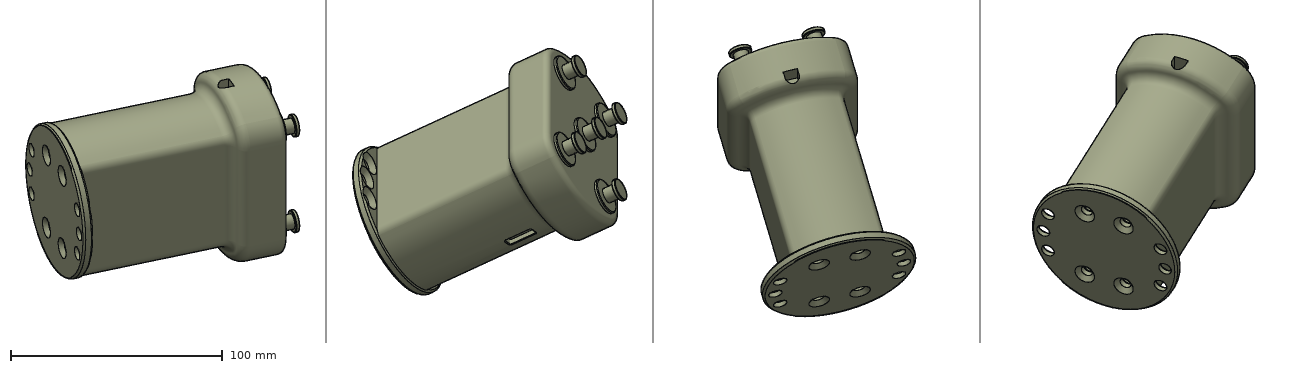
import cadquery as cq
import math

TOTAL_LENGTH = 115.5
FACE_Y = 106.0

FLANGE_DIAMETER = 75.0
FLANGE_THICKNESS = 5.0
FLANGE_CHAMFER = 1.0

HEAD_HEIGHT = 91.6
HEAD_GROWTH = 9.0
HEAD_SHOULDER_Y = 87.0
HEAD_FACE_FILLET = 3.0

BODY_RADIUS = HEAD_HEIGHT / 2 - HEAD_GROWTH
BODY_HALF_WIDTH = 22.9
ROUNDING = 5.0

COUNTERSINK_ANGLE = 90

SCREW_SPACING_X = 20.0
SCREW_SPACING_Z = 40.0
SCREW_HOLE = 5.5
SCREW_HEAD = 10.0
TAPPED_HOLE = 4.5
TAPPED_DEPTH = 11.5

RIM_HOLE = 6.5
RIM_HOLE_HEAD = 11.7
RIM_HOLE_RADIUS = 31.4
RIM_HOLE_ANGLE = 22.5

NOTCH_RADIUS = 3.5
NOTCH_STRAIGHT = 3.0
NOTCH_DEPTH = 10.0

POCKET_X = -12.5
POCKET_Y = 62.8
POCKET_WIDTH = 5.0
POCKET_LENGTH = 14.3
POCKET_CORNER = 0.7
POCKET_CHAMFER = 0.5
POCKET_FLOOR_Z = -30.0

KNOB_SPACING_X = 35.8
KNOB_SPACING_Z = 52.9
WASHER_DIAMETER = 17.3
WASHER_THICKNESS = 1.5
WASHER_CHAMFER = 0.5
STEM_DIAMETER = 7.5
CAP_DIAMETER = 11.0
CAP_THICKNESS = 2.0
CAP_CHAMFER = 0.3


def plane_at(y):
    """Plane across the part axis at height y, with local axes X and Z and its normal along -Y."""
    return cq.Workplane(cq.Plane(origin=(0, y, 0), xDir=(1, 0, 0), normal=(0, -1, 0)))


def outline(plane, growth):
    """Body outline grown outward, starting in the middle of the +X flat."""
    radius = BODY_RADIUS + growth
    half_width = BODY_HALF_WIDTH + growth
    corner = ROUNDING + growth
    corner_x = half_width - corner
    corner_z = math.sqrt((radius - corner) ** 2 - corner_x**2)
    corner_angle = math.atan2(corner_z, corner_x)
    tangent_x = radius * math.cos(corner_angle)
    tangent_z = radius * math.sin(corner_angle)
    middle_x = corner_x + corner * math.cos(corner_angle / 2)
    middle_z = corner_z + corner * math.sin(corner_angle / 2)
    return (
        plane.moveTo(half_width, 0)
        .lineTo(half_width, corner_z)
        .threePointArc((middle_x, middle_z), (tangent_x, tangent_z))
        .threePointArc((0, radius), (-tangent_x, tangent_z))
        .threePointArc((-middle_x, middle_z), (-half_width, corner_z))
        .lineTo(-half_width, -corner_z)
        .threePointArc((-middle_x, -middle_z), (-tangent_x, -tangent_z))
        .threePointArc((0, -radius), (tangent_x, -tangent_z))
        .threePointArc((middle_x, -middle_z), (half_width, -corner_z))
        .close()
    )


def make_flange():
    disc = plane_at(0).circle(FLANGE_DIAMETER / 2).extrude(-FLANGE_THICKNESS)
    return disc.edges().chamfer(FLANGE_CHAMFER)


def make_head_rim():
    """Ring around the body that holds the curved shoulder, the head wall and the face fillet."""
    wall_x = BODY_HALF_WIDTH + HEAD_GROWTH
    inner_x = BODY_HALF_WIDTH - ROUNDING / 2
    convex_x = wall_x - ROUNDING
    concave_x = BODY_HALF_WIDTH + ROUNDING

    centre_distance = 2 * ROUNDING
    shoulder_length = math.sqrt(centre_distance**2 - (concave_x - convex_x) ** 2)
    concave_y = HEAD_SHOULDER_Y - shoulder_length
    join = ((convex_x + concave_x) / 2, (HEAD_SHOULDER_Y + concave_y) / 2)
    join_angle = math.atan2(shoulder_length, concave_x - convex_x)
    bisector = join_angle / 2
    concave_middle = (
        concave_x - ROUNDING * math.cos(bisector),
        concave_y + ROUNDING * math.sin(bisector),
    )
    convex_middle = (
        convex_x + ROUNDING * math.cos(bisector),
        HEAD_SHOULDER_Y - ROUNDING * math.sin(bisector),
    )
    fillet_start = FACE_Y - HEAD_FACE_FILLET
    fillet_reach = HEAD_FACE_FILLET * math.sqrt(0.5)
    fillet_middle = (wall_x - HEAD_FACE_FILLET + fillet_reach, fillet_start + fillet_reach)
    section = (
        cq.Workplane("XY")
        .moveTo(inner_x, concave_y)
        .lineTo(BODY_HALF_WIDTH, concave_y)
        .threePointArc(concave_middle, join)
        .threePointArc(convex_middle, (wall_x, HEAD_SHOULDER_Y))
        .lineTo(wall_x, fillet_start)
        .threePointArc(fillet_middle, (wall_x - HEAD_FACE_FILLET, FACE_Y))
        .lineTo(inner_x, FACE_Y)
        .close()
    )
    return section.sweep(outline(plane_at(concave_y), 0))


def make_knob(x, z):
    washer = plane_at(FACE_Y).center(x, z).circle(WASHER_DIAMETER / 2).extrude(-WASHER_THICKNESS)
    washer = washer.faces(">Y").edges().chamfer(WASHER_CHAMFER)
    stem = plane_at(FACE_Y).center(x, z).circle(STEM_DIAMETER / 2).extrude(FACE_Y - TOTAL_LENGTH)
    cap = plane_at(TOTAL_LENGTH).center(x, z).circle(CAP_DIAMETER / 2).extrude(CAP_THICKNESS)
    cap = cap.edges().chamfer(CAP_CHAMFER)
    return washer.union(stem).union(cap)


def cut_screw_holes(part):
    tapped = plane_at(0).rect(SCREW_SPACING_X, SCREW_SPACING_Z, forConstruction=True).vertices()
    part = part.cut(tapped.circle(TAPPED_HOLE / 2).extrude(-FLANGE_THICKNESS - TAPPED_DEPTH))
    return (
        part.copyWorkplane(plane_at(0))
        .rect(SCREW_SPACING_X, SCREW_SPACING_Z, forConstruction=True)
        .vertices()
        .cskHole(SCREW_HOLE, SCREW_HEAD, COUNTERSINK_ANGLE, FLANGE_THICKNESS)
    )


def cut_rim_holes(part):
    sink_slope = math.tan(math.radians(COUNTERSINK_ANGLE / 2))
    sink_depth = (RIM_HOLE_HEAD - RIM_HOLE) / 2 / sink_slope
    for side in (0, 180):
        for step in (-1, 0, 1):
            angle = math.radians(side + step * RIM_HOLE_ANGLE)
            x = RIM_HOLE_RADIUS * math.cos(angle)
            z = RIM_HOLE_RADIUS * math.sin(angle)
            hole = plane_at(0).center(x, z).circle(RIM_HOLE / 2).extrude(-FLANGE_THICKNESS)
            sink = (
                plane_at(FLANGE_THICKNESS)
                .center(x, z)
                .circle(RIM_HOLE_HEAD / 2)
                .workplane(offset=sink_depth)
                .circle(RIM_HOLE / 2)
                .loft()
            )
            part = part.cut(hole).cut(sink)
    return part


def cut_notch(part):
    notch = (
        cq.Workplane("XY", origin=(0, HEAD_SHOULDER_Y, HEAD_HEIGHT / 2))
        .moveTo(NOTCH_RADIUS, NOTCH_STRAIGHT)
        .lineTo(-NOTCH_RADIUS, NOTCH_STRAIGHT)
        .lineTo(-NOTCH_RADIUS, 0)
        .threePointArc((0, -NOTCH_RADIUS), (NOTCH_RADIUS, 0))
        .close()
        .extrude(-NOTCH_DEPTH)
    )
    return part.cut(notch)


def cut_pocket(body):
    pocket = (
        cq.Workplane("XY", origin=(POCKET_X, POCKET_Y, POCKET_FLOOR_Z))
        .rect(POCKET_WIDTH, POCKET_LENGTH)
        .extrude(-BODY_RADIUS - POCKET_FLOOR_Z)
        .edges("|Z")
        .fillet(POCKET_CORNER)
    )
    mouth = cq.selectors.BoxSelector(
        (POCKET_X - POCKET_WIDTH, POCKET_Y - POCKET_LENGTH, -BODY_RADIUS),
        (POCKET_X + POCKET_WIDTH, POCKET_Y + POCKET_LENGTH, POCKET_FLOOR_Z - POCKET_CORNER),
    )
    upright = cq.selectors.ParallelDirSelector(cq.Vector(0, 0, 1))
    return body.cut(pocket).edges(mouth - upright).chamfer(POCKET_CHAMFER)


body = cut_pocket(outline(plane_at(0), 0).extrude(-FACE_Y))
result = body.union(make_head_rim()).union(make_flange())
result = cut_screw_holes(result)
result = cut_rim_holes(result)
result = cut_notch(result)

knob_x = KNOB_SPACING_X / 2
knob_z = KNOB_SPACING_Z / 2
for x, z in [(0, 0), (knob_x, knob_z), (-knob_x, knob_z), (-knob_x, -knob_z), (knob_x, -knob_z)]:
    result = result.union(make_knob(x, z))